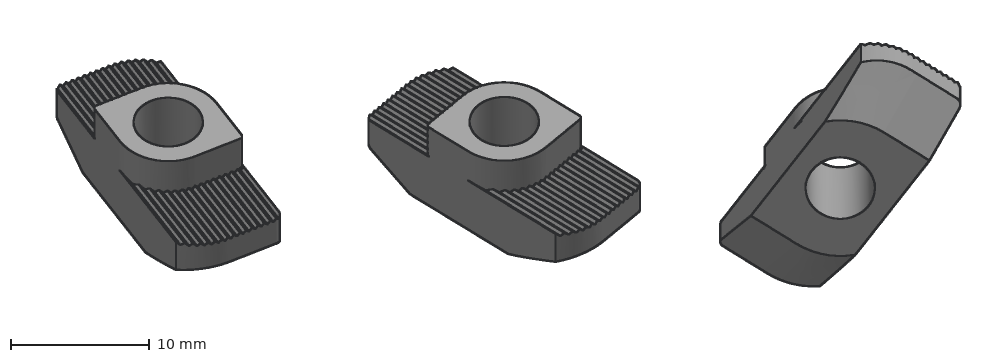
import cadquery as cq
import math

length = 19.5
width = 8.0
height = 8.0
base_height = 5.01
base_sweep_radius = 5.0
base_sweep_start = 0.5
base_corner_radius = 0.5
boss_corner_radius = 0.3
hole_diameter = 5.0
bottom_half_length = 5.52
underside_angle = 30.0
tooth_count = 16
tooth_depth = 0.25

half_length = length / 2
half_width = width / 2
tooth_pitch = width / tooth_count
underside_slope = math.tan(math.radians(underside_angle))


def make_base_blank():
    """Block with swept corners at (-X, +Y) and (+X, -Y), small radii at the others."""
    sweep_center_x = half_length - base_sweep_radius
    sweep_rise = half_width - base_sweep_start
    sweep_end_x = sweep_center_x + math.sqrt(base_sweep_radius**2 - sweep_rise**2)
    mid_angle = math.asin(sweep_rise / base_sweep_radius) / 2
    sweep_mid_x = sweep_center_x + base_sweep_radius * math.cos(mid_angle)
    sweep_mid_y = base_sweep_start + base_sweep_radius * math.sin(mid_angle)
    blank = (
        cq.Workplane("XY")
        .moveTo(-half_length, -half_width)
        .lineTo(sweep_end_x, -half_width)
        .threePointArc((sweep_mid_x, -sweep_mid_y), (half_length, -base_sweep_start))
        .lineTo(half_length, half_width)
        .lineTo(-sweep_end_x, half_width)
        .threePointArc((-sweep_mid_x, sweep_mid_y), (-half_length, base_sweep_start))
        .close()
        .extrude(base_height)
    )
    square_corners = blank.edges("|Z").edges("<(1, 1, 0) or >(1, 1, 0)")
    return square_corners.fillet(base_corner_radius)


def make_underside_envelope():
    """Flared solid: conical in two opposite quadrants, flat slopes in the other two."""
    top_half_length = bottom_half_length + base_height / underside_slope
    profile = [
        (0, 0),
        (bottom_half_length, 0),
        (top_half_length, base_height),
        (0, base_height),
    ]
    flat_quadrant = cq.Workplane("XZ").polyline(profile).close().extrude(-half_width)
    cone_quadrant = (
        cq.Workplane("XZ")
        .polyline(profile)
        .close()
        .revolve(-90, (0, 0, 0), (0, 1, 0))
    )
    half = flat_quadrant.union(cone_quadrant)
    return half.union(half.rotate((0, 0, 0), (0, 0, 1), 180))


def make_serration_cutter():
    """V-grooves along X, with a full-height crest on each long edge."""
    cutter = cq.Workplane("YZ")
    for index in range(tooth_count):
        start_y = -half_width + index * tooth_pitch
        cutter = cutter.moveTo(start_y, base_height)
        cutter = cutter.lineTo(start_y + tooth_pitch / 2, base_height - tooth_depth)
        cutter = cutter.lineTo(start_y + tooth_pitch, base_height).close()
    return cutter.extrude(half_length, both=True)


def make_boss_prism(bottom_z, top_z):
    """Square prism with two opposite corners fully rounded and two left sharp."""
    return (
        cq.Workplane("XY", origin=(0, 0, bottom_z))
        .moveTo(-half_width, -half_width)
        .lineTo(0, -half_width)
        .radiusArc((half_width, 0), -half_width)
        .lineTo(half_width, half_width)
        .lineTo(0, half_width)
        .radiusArc((-half_width, 0), -half_width)
        .close()
        .extrude(top_z - bottom_z)
    )


def make_boss():
    """Boss standing on the base, with its two sharp corners eased."""
    boss = make_boss_prism(base_height, height)
    sharp_edges = boss.edges("|Z").edges("<(1, 1, 0) or >(1, 1, 0)")
    return sharp_edges.fillet(boss_corner_radius)


base = make_base_blank().intersect(make_underside_envelope())
boss_footprint = make_boss_prism(base_height - tooth_depth, base_height)
serrated_base = base.cut(make_serration_cutter().cut(boss_footprint))
part = serrated_base.union(make_boss())
hole = cq.Workplane("XY").circle(hole_diameter / 2).extrude(height)
result = part.cut(hole)